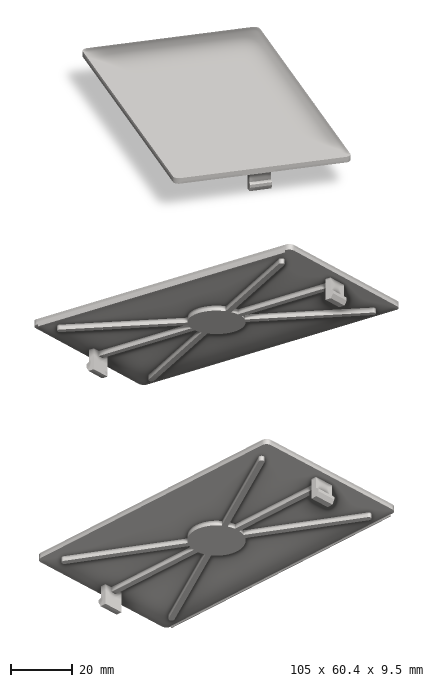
import cadquery as cq
import math

plate_length = 105.0
plate_width = 60.4
plate_thickness = 2.0
corner_radius = 2.0
total_height = 9.5

web_bottom = -3.8
rib_width = 2.0
rib_end_x = 44.9
rib_end_y = 24.9
boss_diameter = 19.0

clip_width = 7.5
clip_thickness = 2.0
clip_outer_x = 49.0
nose_tip_x = 50.1
nose_foot_x = 49.2
nose_root_z = -6.3
nose_tip_top_z = -6.8
nose_tip_bottom_z = -7.9

lip_length = 2 * nose_tip_x
lip_thickness = 0.3
lip_height = 0.7

plate_bottom = -plate_thickness
web_height = plate_bottom - web_bottom
clip_inner_x = clip_outer_x - clip_thickness


def make_plate():
    plate = cq.Workplane("XY").box(
        plate_length, plate_width, plate_thickness, centered=(True, True, False)
    )
    return plate.edges("|Z").fillet(corner_radius).translate((0, 0, plate_bottom))


def make_web():
    """Central boss, two crossing diagonal ribs and a brace between the clips."""
    web_plane = cq.Workplane("XY").workplane(offset=web_bottom)
    web = web_plane.circle(boss_diameter / 2).extrude(web_height)
    rib_length = 2 * math.hypot(rib_end_x, rib_end_y) + rib_width
    rib_angle = math.degrees(math.atan2(rib_end_y, rib_end_x))
    for angle in (rib_angle, -rib_angle):
        web = web.union(web_plane.slot2D(rib_length, rib_width, angle).extrude(web_height))
    brace = web_plane.rect(2 * clip_outer_x, rib_width).extrude(web_height)
    return web.union(brace)


def make_clip(side):
    """Snap clip at the +X end (side = 1) or the -X end (side = -1)."""
    profile = [
        (clip_inner_x, plate_bottom),
        (clip_outer_x, plate_bottom),
        (clip_outer_x, nose_root_z),
        (nose_tip_x, nose_tip_top_z),
        (nose_tip_x, nose_tip_bottom_z),
        (nose_foot_x, -total_height),
        (clip_inner_x, -total_height),
    ]
    outline = cq.Workplane("XZ").polyline([(side * x, z) for x, z in profile]).close()
    return outline.extrude(clip_width / 2, both=True)


def make_lip():
    lip = cq.Workplane("XY").box(lip_length, lip_thickness, lip_height)
    center_y = (plate_width - lip_thickness) / 2
    return lip.translate((0, center_y, plate_bottom - lip_height / 2))


result = make_plate().union(make_web()).union(make_lip())
for side in (-1, 1):
    result = result.union(make_clip(side))